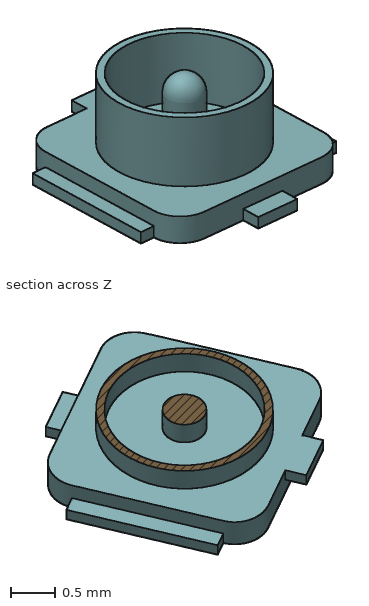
import cadquery as cq

base_side = 2.6
base_height = 0.35
corner_radius = 0.4

total_height = 1.25
shell_outer_diameter = 2.0
shell_inner_diameter = 1.8
pin_diameter = 0.5

tab_thickness = 0.15
signal_tab_width = 0.6
signal_tab_span = 3.1
ground_tab_width = base_side - 2 * corner_radius
ground_tab_span = 3.0


def make_base():
    """Square plate with rounded vertical corners, bottom face at Z = 0."""
    plate = cq.Workplane("XY").box(base_side, base_side, base_height, centered=(True, True, False))
    return plate.edges("|Z").fillet(corner_radius)


def make_shell():
    """Thin-walled tube standing on the plate, open at the top."""
    return (
        cq.Workplane("XY")
        .workplane(offset=base_height)
        .circle(shell_outer_diameter / 2)
        .circle(shell_inner_diameter / 2)
        .extrude(total_height - base_height)
    )


def make_pin():
    """Round pin with a hemispherical tip level with the shell rim."""
    pin_radius = pin_diameter / 2
    tip_center_height = total_height - pin_radius
    stem = cq.Workplane("XY").circle(pin_radius).extrude(tip_center_height)
    tip = cq.Workplane("XY").sphere(pin_radius).translate((0, 0, tip_center_height))
    return stem.union(tip)


def make_signal_tab(side, bottom):
    """Narrow tab reaching out along X; side is -1 or +1."""
    length = signal_tab_span / 2
    tab = cq.Workplane("XY").box(length, signal_tab_width, tab_thickness, centered=(True, True, False))
    return tab.translate((side * length / 2, 0, bottom))


def make_ground_tabs():
    """Wide strip through the plate that sticks out as a tab on both Y sides."""
    return cq.Workplane("XY").box(
        ground_tab_width, ground_tab_span, tab_thickness, centered=(True, True, False)
    )


result = make_base().union(make_shell()).union(make_pin()).union(make_ground_tabs())

result = result.union(make_signal_tab(-1, base_height - tab_thickness))
result = result.union(make_signal_tab(1, 0))